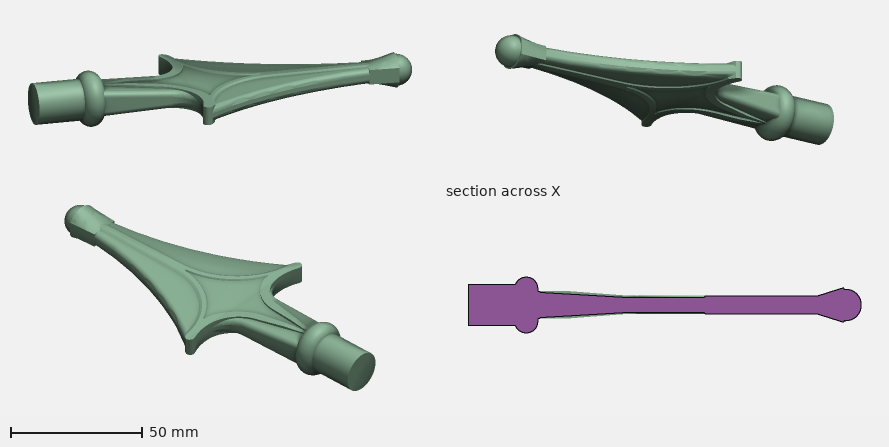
import cadquery as cq
import math

length = 150.0
width = 65.26

spigot_radius = 8.0
collar_radius = 10.75
collar_bead_radius = 4.5
collar_y = 22.2

ball_radius = 6.1
ball_y = length - ball_radius

head_base_y = 131.6
head_top_y = 143.4
head_base_half_width = 5.75
head_top_half_width = 6.45
head_side_half_height = 2.9
head_base_half_height = 3.05
head_top_half_height = 6.75

bend_y = 60.6
panel_half_height = 2.95
band_half_height = 3.5
neck_half_height = 5.2
band_neck_half_height = 5.3
band_level_y = 37.2

tip_x = width / 2
tip_y = bend_y
blade_mid = (14.3, 95.0)
tip_radius = 2.1
tip_sweep = 113
shoulder_gap = 0.1
shoulder_crest = (20.18, bend_y - shoulder_gap)
neck_inner_y = 63.0
neck_top = (10.7, 51.7)
neck_base_half_width = 8.5
edge_fillet = 2.1

stem_end_y = 132.9
stem_end_half_width = 2.3
stem_foot = (3.0, 93.3)
arm_mid = (11.9, 72.6)
arm_end = (28.5, 64.0)
arm_tip = (31.9, 61.7)
band_neck_mid = (8.4, 53.9)
band_neck_low = (6.1, 47.8)
band_foot_half_width = 0.2
band_wall_draft = 1.2
star_wall_draft = 0.4

star_top_y = 90.0
star_side = (18.0, 64.5)
star_upper_mid = (5.8, 74.5)
star_lower_mid = (7.2, 58.1)
star_foot_y = 27.5
star_lower_end = (2.7, 48.0)

depth = 2 * collar_radius
edge_gap = 1.0


def mirrored(point):
    return (-point[0], point[1])


def tip_point(degrees):
    """Point on the rounded tip, the given angle below its outermost point."""
    angle = math.radians(degrees)
    return (tip_x - tip_radius * (1 - math.cos(angle)), tip_y - tip_radius * math.sin(angle))


def side_profile(points):
    """Body as wide as the part whose half thickness along Y follows the (y, z) points."""
    lower = [(y, -z) for y, z in reversed(points)]
    return cq.Workplane("YZ").polyline(points + lower).close().extrude(width, both=True)


def prism(sketch):
    return sketch.extrude(depth, both=True)


def edge_box(low, high, side):
    """Selector for edges centred between two plan corners, above (side 1) or below (side -1) Z = 0."""
    return cq.selectors.BoxSelector((*low, side * edge_gap), (*high, side * depth))


def make_shaft():
    spigot = cq.Workplane("XZ").circle(spigot_radius).extrude(-collar_y)
    bead_centre = collar_radius - collar_bead_radius
    collar = (
        cq.Workplane("XY")
        .moveTo(0, collar_y - collar_bead_radius)
        .lineTo(bead_centre, collar_y - collar_bead_radius)
        .threePointArc((collar_radius, collar_y), (bead_centre, collar_y + collar_bead_radius))
        .lineTo(0, collar_y + collar_bead_radius)
        .close()
        .revolve(360, (0, 0, 0), (0, 1, 0))
    )
    return spigot.union(collar)


def make_blade():
    """Flat wings with rounded outer edges, down to the line joining the two tips."""
    top = (head_base_half_width, head_base_y)
    tip = (tip_x, tip_y)
    plan = (
        cq.Workplane("XY")
        .moveTo(*mirrored(top))
        .lineTo(*top)
        .threePointArc(blade_mid, tip)
        .lineTo(*mirrored(tip))
        .threePointArc(mirrored(blade_mid), mirrored(top))
        .close()
    )
    blade = plan.extrude(panel_half_height, both=True)
    return blade.edges("%CIRCLE").fillet(edge_fillet)


def make_neck():
    """Tapered neck with rounded edges that flares into the shoulders."""
    base = (neck_base_half_width, collar_y)
    crest_x, crest_y = shoulder_crest
    half_plan = (
        cq.Workplane("XY")
        .moveTo(0, collar_y)
        .lineTo(*base)
        .lineTo(*neck_top)
        .tangentArcPoint(shoulder_crest, relative=False)
        .lineTo(crest_x, neck_inner_y)
        .lineTo(0, neck_inner_y)
        .close()
    )
    faces = side_profile(
        [(collar_y, neck_half_height), (bend_y, panel_half_height), (length, panel_half_height)]
    )
    half = prism(half_plan).intersect(faces)
    for side in (-1, 1):
        outer_edges = edge_box(
            (neck_base_half_width / 2 + edge_gap, collar_y), (crest_x - edge_gap, crest_y - edge_gap), side
        )
        half = half.edges(outer_edges).fillet(edge_fillet)
    return half.union(half.mirror("YZ"))


def make_band():
    """Raised band: stem, arms out to the tips, and a point running down the neck, less the star."""
    stem_top = (stem_end_half_width, stem_end_y)
    foot = (band_foot_half_width, collar_y)
    right_half = (
        cq.Workplane("XY")
        .moveTo(0, collar_y)
        .lineTo(*foot)
        .lineTo(*band_neck_low)
        .threePointArc(band_neck_mid, shoulder_crest)
        .tangentArcPoint(tip_point(tip_sweep), relative=False)
        .threePointArc(tip_point(tip_sweep / 2), (tip_x, tip_y))
        .lineTo(*arm_tip)
        .lineTo(*arm_end)
        .threePointArc(arm_mid, stem_foot)
        .lineTo(*stem_top)
        .lineTo(0, stem_end_y)
        .close()
    )
    faces = side_profile(
        [
            (collar_y, band_neck_half_height),
            (band_level_y, band_neck_half_height),
            (bend_y, band_half_height),
            (length, band_half_height),
        ]
    )
    half = prism(right_half).intersect(faces)
    wall_height = band_half_height - panel_half_height
    for side in (-1, 1):
        panel_edges = edge_box((stem_end_half_width / 2, arm_end[1]), (arm_end[0], stem_end_y - edge_gap), side)
        half = half.edges(panel_edges).chamfer(wall_height, band_wall_draft)
    band = half.union(half.mirror("YZ")).cut(make_star())
    flare = make_star_flare()
    return band.cut(flare).cut(flare.mirror("XY"))


def make_star():
    top = (0, star_top_y)
    plan = (
        cq.Workplane("XY")
        .moveTo(*top)
        .threePointArc(star_upper_mid, star_side)
        .threePointArc(star_lower_mid, star_lower_end)
        .lineTo(0, star_foot_y)
        .lineTo(*mirrored(star_lower_end))
        .threePointArc(mirrored(star_lower_mid), mirrored(star_side))
        .threePointArc(mirrored(star_upper_mid), top)
        .close()
    )
    return prism(plan)


def make_star_flare():
    """Widening of the upper star opening from the panel level to the top of the band."""
    top = (0, star_top_y)
    wall_height = band_half_height - panel_half_height
    draft_angle = math.degrees(math.atan2(star_wall_draft, wall_height))
    return (
        cq.Workplane("XY", origin=(0, 0, panel_half_height))
        .moveTo(*top)
        .threePointArc(star_upper_mid, star_side)
        .lineTo(*mirrored(star_side))
        .threePointArc(mirrored(star_upper_mid), top)
        .close()
        .extrude(wall_height, taper=-draft_angle)
    )


def add_head_section(plane, half_width, half_height):
    """Draw a flat-sided section with bulged upper and lower faces."""
    return (
        plane.moveTo(half_width, -head_side_half_height)
        .lineTo(half_width, head_side_half_height)
        .threePointArc((0, half_height), (-half_width, head_side_half_height))
        .lineTo(-half_width, -head_side_half_height)
        .threePointArc((0, -half_height), (half_width, -head_side_half_height))
        .close()
    )


def make_head():
    base_plane = cq.Workplane("XZ", origin=(0, head_base_y, 0))
    base = add_head_section(base_plane, head_base_half_width, head_base_half_height)
    top_plane = base.workplane(offset=head_base_y - head_top_y)
    frustum = add_head_section(top_plane, head_top_half_width, head_top_half_height).loft(ruled=True)
    ball = cq.Workplane("XY").sphere(ball_radius).translate((0, ball_y, 0))
    return frustum.union(ball)


result = make_blade().union(make_neck()).union(make_band()).union(make_head()).union(make_shaft())